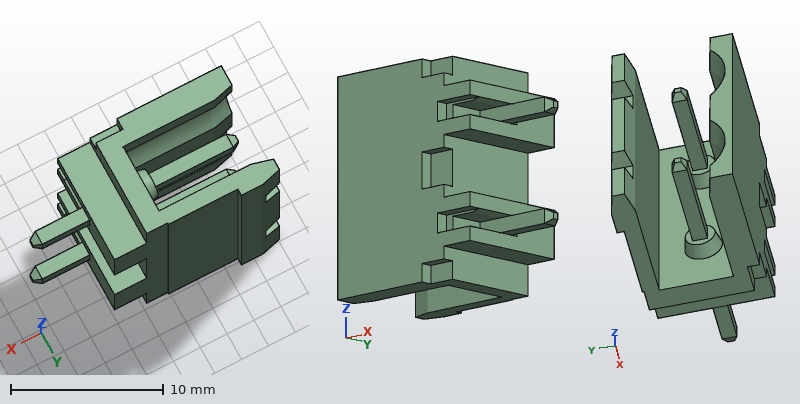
import cadquery as cq


pitch = 7.5
height = 2 * pitch
pole_heights = [pitch / 2, 3 * pitch / 2]

length = 16.2
housing_length = 9.77
floor_x = 8.31
mouth_chamfer_length = 1.5

front_wall_tip = 1.5
front_wall = 1.9
back_wall_inner = 6.9
back_wall_tip_inner = 7.29
back_wall_tip_outer = 8.12
back_wall_outer = 8.02
base_depth = 7.9
width = 8.5

latch_ramp_length = 1.44
latch_end_x = 3.05
back_step_x = 8.2

latch_notch_depth = 1.2
latch_notch_mouth = 1.81
latch_notch_floor = 1.35

recess_mouth_radius = 3.4
recess_radius = 3.0

edge_notch_x = 7.76
edge_notch_width = 2.5
edge_notch_depth = 0.83

foot_end_x = 12.17
foot_height = 3.29

slot_x = 9.19
slot_width = 1.33
slot_depth = 0.86
channel_mouth_length = 0.6

pin_y = 3.9
pin_width = 1.0
pin_tip_width = 0.44
pin_tip_length = 0.53
pin_start_x = 0.92
collar_x = 7.29
collar_base_radius = 1.26
collar_tip_radius = 1.0


def box(x0, x1, y0, y1, z0, z1):
    """Box between opposite corners."""
    return cq.Workplane("XY").box(x1 - x0, y1 - y0, z1 - z0, centered=False).translate((x0, y0, z0))


def across_x(x, z):
    """Sketch plane facing +X, centred on the pin axis at height z; local axes are Y and Z."""
    return cq.Workplane("YZ", origin=(x, pin_y, z))


def taper(x0, x1, z, draw_start, draw_end):
    """Loft along X between two sections, each centred on the pin axis."""
    start = draw_start(across_x(x0, z))
    return draw_end(start.workplane(offset=x1 - x0)).loft(ruled=True)


def square_taper(x0, x1, z, width0, width1):
    return taper(x0, x1, z, lambda w: w.rect(width0, width0), lambda w: w.rect(width1, width1))


def cone(x0, x1, z, radius0, radius1):
    return taper(x0, x1, z, lambda w: w.circle(radius0), lambda w: w.circle(radius1))


def make_housing():
    outline = [
        (0, 0),
        (housing_length, 0),
        (housing_length, base_depth),
        (back_step_x, base_depth),
        (back_step_x, back_wall_outer),
        (latch_end_x, back_wall_outer),
        (latch_end_x, width),
        (latch_ramp_length, width),
        (0, back_wall_tip_outer),
        (0, back_wall_tip_inner),
        (mouth_chamfer_length, back_wall_inner),
        (floor_x, back_wall_inner),
        (floor_x, front_wall),
        (mouth_chamfer_length, front_wall),
        (0, front_wall_tip),
    ]
    return cq.Workplane("XY").polyline(outline).close().extrude(height)


def make_foot(z):
    half = foot_height / 2
    return box(housing_length, foot_end_x, 0, base_depth, z - half, z + half)


def make_latch_notch(z):
    mouth = latch_notch_mouth / 2
    floor = latch_notch_floor / 2
    outline = [(0, z - mouth), (0, z + mouth), (latch_notch_depth, z + floor), (latch_notch_depth, z - floor)]
    notch = cq.Workplane("XZ", origin=(0, back_wall_inner, 0)).polyline(outline).close()
    return notch.extrude(back_wall_inner - width)


def make_recess(z):
    mouth = cone(0, mouth_chamfer_length, z, recess_mouth_radius, recess_radius)
    bore = across_x(mouth_chamfer_length, z).circle(recess_radius).extrude(floor_x - mouth_chamfer_length)
    front_half = box(0, floor_x, 0, pin_y, 0, height)
    return mouth.union(bore).intersect(front_half)


def make_edge_notch(z):
    half = edge_notch_width / 2
    return box(edge_notch_x, housing_length, 0, edge_notch_depth, z - half, z + half)


def make_slot(z):
    wide = slot_width / 2
    narrow = pin_width / 2
    channel_end = pin_y + narrow
    mouth_x = foot_end_x - channel_mouth_length
    entry = box(slot_x, foot_end_x, 0, slot_depth, z - wide, z + wide)
    outline = [
        (housing_length, z - narrow),
        (mouth_x, z - narrow),
        (foot_end_x, z - wide),
        (foot_end_x, z + wide),
        (mouth_x, z + narrow),
        (housing_length, z + narrow),
    ]
    channel = cq.Workplane("XZ").polyline(outline).close().extrude(-channel_end)
    return entry.union(channel)


def make_pin(z):
    shank_start = pin_start_x + pin_tip_length
    shank_end = length - pin_tip_length
    shank = across_x(shank_start, z).rect(pin_width, pin_width).extrude(shank_end - shank_start)
    front_tip = square_taper(pin_start_x, shank_start, z, pin_tip_width, pin_width)
    rear_tip = square_taper(shank_end, length, z, pin_width, pin_tip_width)
    return shank.union(front_tip).union(rear_tip)


def make_collar(z):
    return cone(collar_x, floor_x, z, collar_tip_radius, collar_base_radius)


result = make_housing()

for notch_z in (0, pitch, height):
    result = result.cut(make_edge_notch(notch_z))

for pole_z in pole_heights:
    result = result.union(make_foot(pole_z))
    result = result.cut(make_slot(pole_z))
    result = result.cut(make_latch_notch(pole_z))
    result = result.cut(make_recess(pole_z))
    result = result.union(make_collar(pole_z))
    result = result.union(make_pin(pole_z))